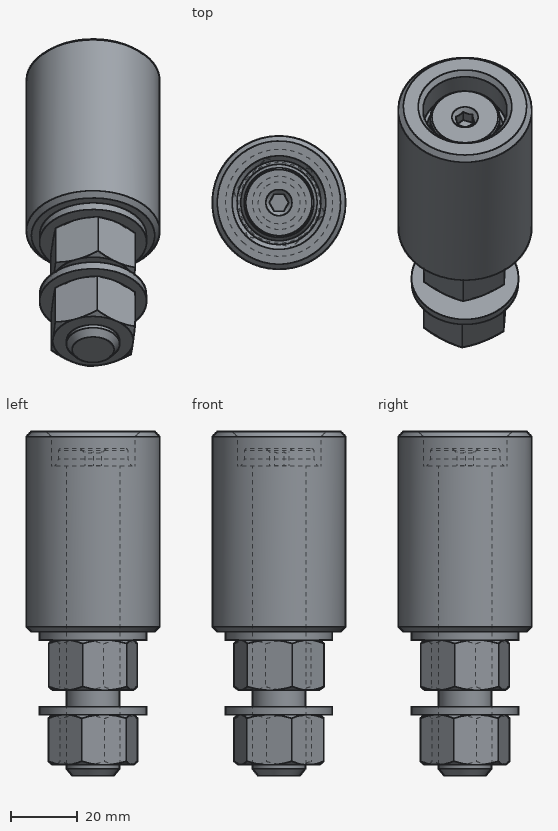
import cadquery as cq
import math

TOTAL_HEIGHT = 103.0
LOWER_NUT_BASE = 3.3
NUT_HEIGHT = 14.9
WASHER_THICKNESS = 2.5
NUT_GAP = 4.9
LOWER_WASHER_BASE = LOWER_NUT_BASE + NUT_HEIGHT
UPPER_NUT_BASE = LOWER_WASHER_BASE + WASHER_THICKNESS + NUT_GAP
UPPER_WASHER_BASE = UPPER_NUT_BASE + NUT_HEIGHT
ROLLER_BASE = UPPER_WASHER_BASE + WASHER_THICKNESS

ROLLER_RADIUS = 40.0 / 2
ROLLER_CHAMFER = 1.5
RECESS_RADIUS = 25.1 / 2
RECESS_CHAMFER = 1.4
RECESS_DEPTH = 10.3

SHANK_RADIUS = 16.0 / 2
TIP_RADIUS = 6.3
TIP_LENGTH = 2.2
HEAD_DROP = 5.0
HEAD_FACE_RADIUS = 9.9
HEAD_RADIUS = 10.4
HEAD_RIM_HEIGHT = 0.5
HEAD_WALL_HEIGHT = 2.7
HEAD_SEAT_RADIUS = 11.4
SOCKET_ACROSS_FLATS = 5.0
SOCKET_DEPTH = 5.0
SOCKET_MOUTH_RADIUS = 3.9

NUT_ACROSS_FLATS = 24.0
NUT_END_RADIUS = 12.0
NUT_CHAMFER_ANGLE = 30.0
LOWER_NUT_TURN = -14.0
UPPER_NUT_TURN = -13.0
WASHER_RADIUS = 32.0 / 2


def corner_radius(across_flats):
    return across_flats / math.sqrt(3)


def revolve_profile(points):
    """Revolve a closed (radius, Z) outline about the Z axis."""
    return cq.Workplane("XZ").polyline(points).close().revolve(360, (0, 0), (0, 1))


def hex_prism(across_flats, base, height):
    return (
        cq.Workplane("XY", origin=(0, 0, base))
        .polygon(6, 2 * corner_radius(across_flats))
        .extrude(height)
    )


def make_roller():
    recess_floor = TOTAL_HEIGHT - RECESS_DEPTH
    return revolve_profile([
        (SHANK_RADIUS, ROLLER_BASE),
        (ROLLER_RADIUS - ROLLER_CHAMFER, ROLLER_BASE),
        (ROLLER_RADIUS, ROLLER_BASE + ROLLER_CHAMFER),
        (ROLLER_RADIUS, TOTAL_HEIGHT - ROLLER_CHAMFER),
        (ROLLER_RADIUS - ROLLER_CHAMFER, TOTAL_HEIGHT),
        (RECESS_RADIUS + RECESS_CHAMFER, TOTAL_HEIGHT),
        (RECESS_RADIUS, TOTAL_HEIGHT - RECESS_CHAMFER),
        (RECESS_RADIUS, recess_floor),
        (SHANK_RADIUS, recess_floor),
    ])


def make_stud():
    head_top = TOTAL_HEIGHT - HEAD_DROP
    head_seat = TOTAL_HEIGHT - RECESS_DEPTH
    rim_base = head_top - HEAD_RIM_HEIGHT
    stud = revolve_profile([
        (0, 0),
        (TIP_RADIUS, 0),
        (SHANK_RADIUS, TIP_LENGTH),
        (SHANK_RADIUS, head_seat),
        (HEAD_SEAT_RADIUS, head_seat),
        (HEAD_RADIUS, rim_base - HEAD_WALL_HEIGHT),
        (HEAD_RADIUS, rim_base),
        (HEAD_FACE_RADIUS, head_top),
        (0, head_top),
    ])

    socket = hex_prism(SOCKET_ACROSS_FLATS, head_top - SOCKET_DEPTH, SOCKET_DEPTH)
    mouth = revolve_profile([
        (0, head_top),
        (SOCKET_MOUTH_RADIUS, head_top),
        (0, head_top - SOCKET_MOUTH_RADIUS),
    ])
    return stud.cut(socket).cut(mouth)


def make_nut(base, turn):
    nut_corner = corner_radius(NUT_ACROSS_FLATS)
    chamfer_height = (nut_corner - NUT_END_RADIUS) * math.tan(math.radians(NUT_CHAMFER_ANGLE))
    top = base + NUT_HEIGHT
    chamfer_envelope = revolve_profile([
        (SHANK_RADIUS, base),
        (NUT_END_RADIUS, base),
        (nut_corner, base + chamfer_height),
        (nut_corner, top - chamfer_height),
        (NUT_END_RADIUS, top),
        (SHANK_RADIUS, top),
    ])
    hexagon = hex_prism(NUT_ACROSS_FLATS, base, NUT_HEIGHT)
    return hexagon.intersect(chamfer_envelope).rotate((0, 0, 0), (0, 0, 1), turn)


def make_washer(base):
    return (
        cq.Workplane("XY", origin=(0, 0, base))
        .circle(WASHER_RADIUS)
        .circle(SHANK_RADIUS)
        .extrude(WASHER_THICKNESS)
    )


roller = make_roller()
stud = make_stud()

nuts = []
for nut_base, nut_turn in [(LOWER_NUT_BASE, LOWER_NUT_TURN), (UPPER_NUT_BASE, UPPER_NUT_TURN)]:
    nuts.append(make_nut(nut_base, nut_turn).val())

washers = []
for washer_base in [LOWER_WASHER_BASE, UPPER_WASHER_BASE]:
    washers.append(make_washer(washer_base).val())

result = cq.Compound.makeCompound([roller.val(), stud.val(), *nuts, *washers])